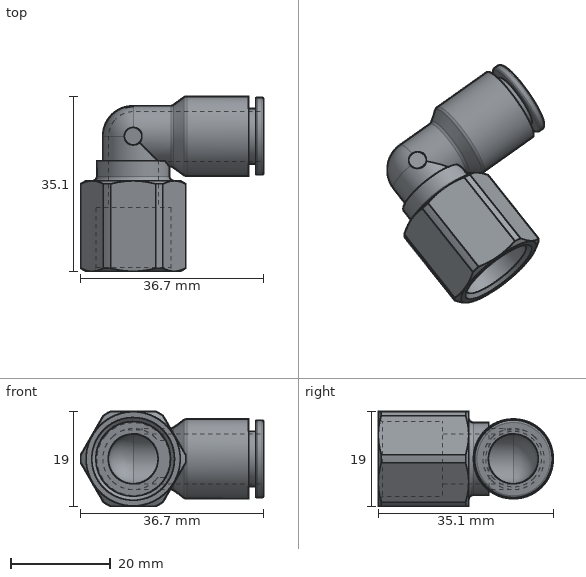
import cadquery as cq
import math


OVERALL_LENGTH = 36.7

HEX_FLATS = 19.0
CORNER_DIAMETER = 21.05
NUT_START = 8.9
NUT_END = 27.1
BEVEL_START_RADIUS = 9.45
BEVEL_ANGLE = 30

COLLAR_RADIUS = 7.3
COLLAR_START = 4.88
FLARE_START = 8.0
FLARE_RADIUS = NUT_START - FLARE_START

ELBOW_RADIUS = 6.13
SOCKET_RADIUS = 8.0
CONE_START = 7.8
CONE_END = 10.4
CONE_BLEND_RADIUS = 1.0
SOCKET_END = 23.12
NECK_RADIUS = 5.58
FLANGE_RADIUS = 7.78
FLANGE_START = 24.5
FLANGE_END = OVERALL_LENGTH - CORNER_DIAMETER / 2
FLANGE_INNER_ROUND = 0.33
FLANGE_OUTER_ROUND = 0.45

BORE_RADIUS = 5.0
THREAD_RADIUS = 7.5
THREAD_DEPTH = 12.85
MOUTH_RADIUS = 8.3

RECESS_RADIUS = 1.75
RECESS_DEPTH = 0.3


def cylinder_down(radius, start, end):
    """Cylinder along -Y between two distances from the elbow centre."""
    return cq.Workplane("XZ").workplane(offset=start).circle(radius).extrude(end - start)


def cylinder_right(radius, length):
    """Cylinder along +X from the elbow centre."""
    return cq.Workplane("YZ").circle(radius).extrude(length)


def revolve_down(profile):
    """Turn a closed XY profile about the nut axis."""
    return profile.close().revolve(360, (0, 0, 0), (0, 1, 0))


def make_nut():
    corner_radius = CORNER_DIAMETER / 2
    bevel_length = (corner_radius - BEVEL_START_RADIUS) * math.tan(math.radians(BEVEL_ANGLE))
    hexagon = (
        cq.Workplane("XZ")
        .workplane(offset=NUT_START)
        .polygon(6, HEX_FLATS / math.cos(math.pi / 6))
        .extrude(NUT_END - NUT_START)
    )
    bevelled_blank = revolve_down(
        cq.Workplane("XY")
        .moveTo(0, -NUT_START)
        .lineTo(BEVEL_START_RADIUS, -NUT_START)
        .lineTo(corner_radius, -NUT_START - bevel_length)
        .lineTo(corner_radius, -NUT_END + bevel_length)
        .lineTo(BEVEL_START_RADIUS, -NUT_END)
        .lineTo(0, -NUT_END)
    )
    return hexagon.intersect(bevelled_blank)


def make_collar():
    """Plain ring with a concave flare that meets the nut face."""
    return revolve_down(
        cq.Workplane("XY")
        .moveTo(0, -COLLAR_START)
        .lineTo(COLLAR_RADIUS, -COLLAR_START)
        .lineTo(COLLAR_RADIUS, -FLARE_START)
        .radiusArc((COLLAR_RADIUS + FLARE_RADIUS, -NUT_START), -FLARE_RADIUS)
        .lineTo(0, -NUT_START)
    )


def make_elbow():
    leg = cylinder_down(ELBOW_RADIUS, 0, NUT_START)
    return leg.union(cq.Workplane("XY").sphere(ELBOW_RADIUS))


def make_socket():
    """Horizontal leg, cone and socket body, blended at both ends of the cone."""
    body = (
        cq.Workplane("XY")
        .lineTo(0, ELBOW_RADIUS)
        .lineTo(CONE_START, ELBOW_RADIUS)
        .lineTo(CONE_END, SOCKET_RADIUS)
        .lineTo(SOCKET_END, SOCKET_RADIUS)
        .lineTo(SOCKET_END, 0)
        .close()
        .revolve(360, (0, 0, 0), (1, 0, 0))
    )
    margin = (CONE_END - CONE_START) / 2
    reach = 2 * SOCKET_RADIUS
    cone_edges = cq.selectors.BoxSelector(
        (CONE_START - margin, -reach, -reach),
        (CONE_END + margin, reach, reach),
    )
    return body.edges("%CIRCLE").edges(cone_edges).fillet(CONE_BLEND_RADIUS)


def make_release_ring():
    """Neck and rounded flange at the open end of the socket."""
    flange = (
        cq.Workplane("YZ")
        .workplane(offset=FLANGE_START)
        .circle(FLANGE_RADIUS)
        .extrude(FLANGE_END - FLANGE_START)
        .faces("<X").edges().fillet(FLANGE_INNER_ROUND)
        .faces(">X").edges().fillet(FLANGE_OUTER_ROUND)
    )
    return cylinder_right(NECK_RADIUS, FLANGE_END).union(flange)


def make_passages():
    """Connected bores, ball-shaped at the bend, and the countersunk thread bore."""
    thread_floor = NUT_END - THREAD_DEPTH
    mouth_depth = MOUTH_RADIUS - THREAD_RADIUS
    thread_bore = revolve_down(
        cq.Workplane("XY")
        .moveTo(0, -thread_floor)
        .lineTo(THREAD_RADIUS, -thread_floor)
        .lineTo(THREAD_RADIUS, -NUT_END + mouth_depth)
        .lineTo(MOUTH_RADIUS, -NUT_END)
        .lineTo(0, -NUT_END)
    )
    return (
        cylinder_down(BORE_RADIUS, 0, NUT_END)
        .union(cq.Workplane("XY").sphere(BORE_RADIUS))
        .union(cylinder_right(BORE_RADIUS, FLANGE_END))
        .union(thread_bore)
    )


def make_recess():
    floor = ELBOW_RADIUS - RECESS_DEPTH
    return cq.Workplane("XY").workplane(offset=floor).circle(RECESS_RADIUS).extrude(2 * RECESS_DEPTH)


result = (
    make_elbow()
    .union(make_socket())
    .union(make_release_ring())
    .union(make_collar())
    .union(make_nut())
    .cut(make_passages())
    .cut(make_recess())
)